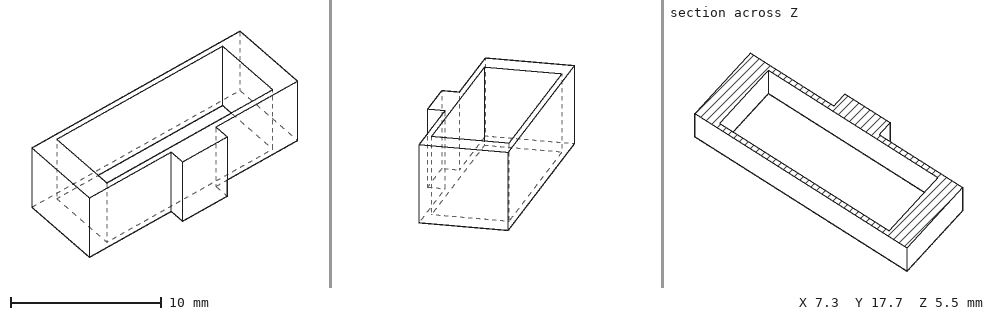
import cadquery as cq

frame_width = 6.1
frame_length = 17.7
height = 5.5

side_wall = 0.4
end_wall = 1.8
opening_width = frame_width - 2 * side_wall
opening_length = frame_length - 2 * end_wall

tab_projection = 1.2
tab_length = 3.8


def make_frame():
    """Full-height frame centred on the Z axis, open from top to bottom."""
    return (
        cq.Workplane("XY")
        .rect(frame_width, frame_length)
        .rect(opening_width, opening_length)
        .extrude(height)
    )


def make_tab():
    """Full-height block standing out from the +X face of the frame."""
    return (
        cq.Workplane("XY")
        .box(tab_projection, tab_length, height, centered=(False, True, False))
        .translate((frame_width / 2, 0, 0))
    )


result = make_frame().union(make_tab())